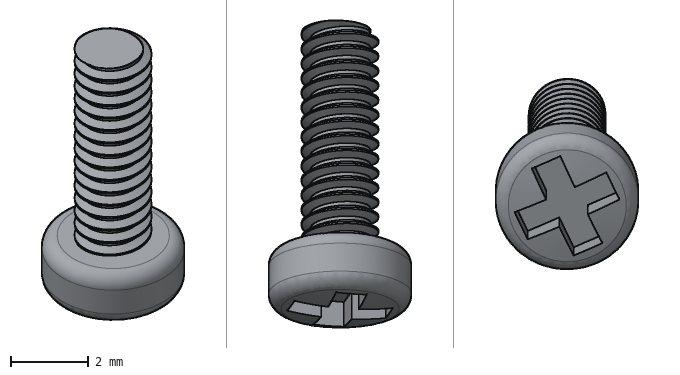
import cadquery as cq
import math

total_length = 7.68
shank_length = 6.0
head_height = total_length - shank_length

head_radius = 1.85
head_edge_radius = 0.4
dome_radius = 8.065

arm_width = 0.815
arm_span = 2.61
recess_depth = 0.77

thread_turns = 15
pitch = shank_length / thread_turns
major_radius = 1.0
thread_depth = 5 / 8 * pitch * math.cos(math.radians(30))
root_radius = major_radius - thread_depth
crest_width = pitch / 8
flank_slope = math.tan(math.radians(30))
ridge_overlap = 0.02
crest_offset = 0.4 * pitch


def make_head():
    """Cylinder with a shallow domed end and rounded edges."""
    def dome_drop(radius):
        return dome_radius - math.sqrt(dome_radius**2 - radius**2)

    inner_corner_radius = arm_width / math.sqrt(2)
    apex_z = -head_height - dome_drop(inner_corner_radius)
    rim_z = apex_z + dome_drop(head_radius)
    middle_radius = head_radius / 2
    middle_z = apex_z + dome_drop(middle_radius)
    head = (
        cq.Workplane("XZ")
        .moveTo(0, apex_z)
        .threePointArc((middle_radius, middle_z), (head_radius, rim_z))
        .lineTo(head_radius, 0)
        .lineTo(0, 0)
        .close()
        .revolve(360, (0, 0, 0), (0, 1, 0))
    )
    rims = head.edges("%CIRCLE").edges(cq.selectors.RadiusNthSelector(0))
    return rims.fillet(head_edge_radius)


def make_recess():
    """Two crossed straight slots, open at the bottom of the head."""
    clearance = 0.08
    height = recess_depth + clearance
    base = cq.Workplane("XY").workplane(offset=-head_height - clearance)
    arm_x = base.rect(arm_span, arm_width).extrude(height)
    arm_y = base.rect(arm_width, arm_span).extrude(height)
    return arm_x.union(arm_y)


def make_ridge():
    """Helical ridge that runs past both ends of the shank."""
    start_z = crest_offset - 2 * pitch
    length = (thread_turns + 3) * pitch
    base_radius = root_radius - ridge_overlap
    half_crest = crest_width / 2
    half_base = half_crest + (major_radius - base_radius) * flank_slope
    helix = cq.Wire.makeHelix(pitch, length, root_radius).translate(cq.Vector(0, 0, start_z))
    return (
        cq.Workplane("XZ", origin=(0, 0, start_z))
        .polyline([
            (base_radius, -half_base),
            (major_radius, -half_crest),
            (major_radius, half_crest),
            (base_radius, half_base),
        ])
        .close()
        .sweep(cq.Workplane(obj=helix), isFrenet=True)
    )


def make_shank():
    """Core cylinder and thread ridge, made overlong and cut flat at both ends."""
    overrun = 4 * pitch
    core = (
        cq.Workplane("XY")
        .workplane(offset=-overrun)
        .circle(root_radius)
        .extrude(shank_length + 2 * overrun)
    )
    envelope = cq.Workplane("XY").circle(head_radius).extrude(shank_length)
    return core.union(make_ridge()).intersect(envelope)


result = make_head().cut(make_recess()).union(make_shank())